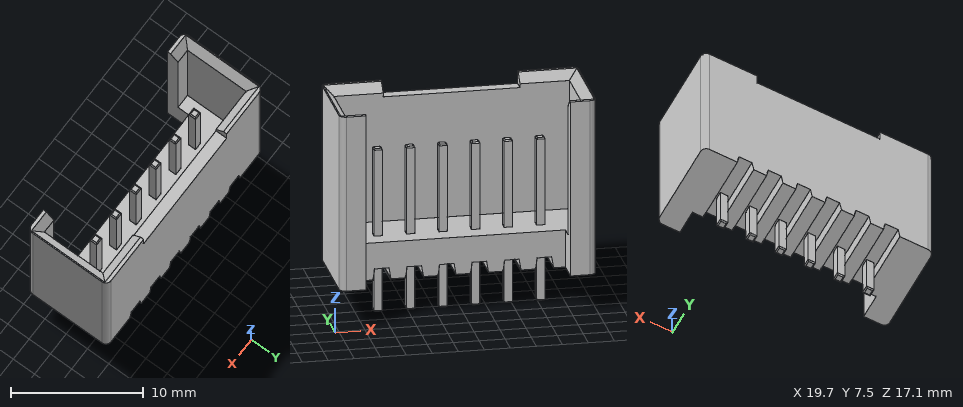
import cadquery as cq

housing_length = 19.7
housing_depth = 7.5
housing_height = 14.0
corner_radius = 0.5
end_wall = 0.8
long_wall = 1.0
floor_top = 3.0
lead_in = 0.7

front_opening_length = 15.7
front_opening_depth = 2.0
back_notch_length = 10.5
back_notch_bottom = 13.0

pin_count = 6
pin_pitch = 2.5
pin_size = 0.64
pin_top = 10.0
pin_bottom = -3.1
pin_chamfer = 0.1

groove_height = 0.9
groove_top_width = 1.1
groove_bottom_width = 1.4

cavity_length = housing_length - 2 * end_wall
cavity_depth = housing_depth - 2 * long_wall
pin_positions = [(i - (pin_count - 1) / 2) * pin_pitch for i in range(pin_count)]


def block(length, depth, bottom, top, y_center=0):
    """Box centred on X, spanning the given heights."""
    return (
        cq.Workplane("XY", origin=(0, y_center, bottom))
        .box(length, depth, top - bottom, centered=(True, True, False))
    )


def make_shell():
    """Box with rounded upright corners and a cavity with a chamfered mouth."""
    outer = block(housing_length, housing_depth, 0, housing_height).edges("|Z").fillet(corner_radius)
    cavity = block(cavity_length, cavity_depth, floor_top, housing_height)
    mouth = (
        cq.Workplane("XY", origin=(0, 0, housing_height - lead_in))
        .rect(cavity_length, cavity_depth)
        .workplane(offset=lead_in)
        .rect(cavity_length + 2 * lead_in, cavity_depth + 2 * lead_in)
        .loft(ruled=True)
    )
    return outer.cut(cavity).cut(mouth)


def make_front_opening():
    """Full-height opening through the front wall, at -Y."""
    y_center = (front_opening_depth - housing_depth) / 2
    return block(front_opening_length, front_opening_depth, 0, housing_height, y_center)


def make_back_notch():
    """Shallow notch in the top of the back wall, at +Y."""
    y_center = (housing_depth - long_wall) / 2
    return block(back_notch_length, long_wall, back_notch_bottom, housing_height, y_center)


def make_groove(x):
    """Tapered groove running the full depth of the underside."""
    return (
        cq.Workplane("XZ", origin=(x, housing_depth / 2, 0))
        .moveTo(-groove_bottom_width / 2, 0)
        .lineTo(-groove_top_width / 2, groove_height)
        .lineTo(groove_top_width / 2, groove_height)
        .lineTo(groove_bottom_width / 2, 0)
        .close()
        .extrude(housing_depth)
    )


def make_pin(x):
    """Square pin with chamfered tips."""
    pin = block(pin_size, pin_size, pin_bottom, pin_top)
    return pin.faces("<Z or >Z").chamfer(pin_chamfer).translate((x, 0, 0))


result = make_shell().cut(make_front_opening()).cut(make_back_notch())
for pin_x in pin_positions:
    result = result.cut(make_groove(pin_x)).union(make_pin(pin_x))